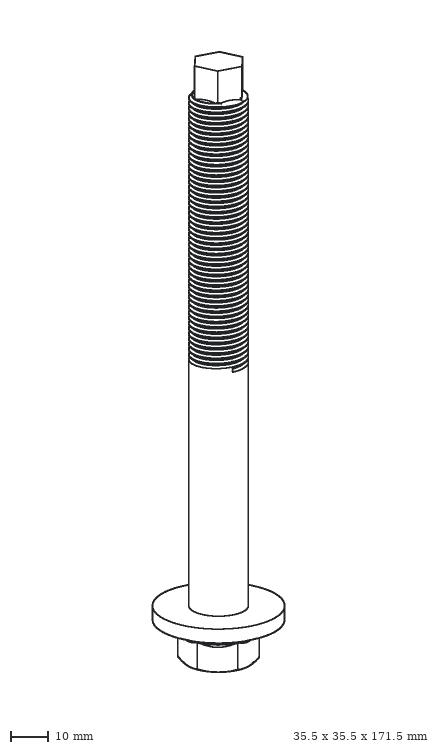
import cadquery as cq
import math

total_length = 171.5
seat_z = 11.5
pilot_length = 10.0
shank_top_z = total_length - pilot_length

head_flats = 19.0
head_chamfer_angle = 30.0
flange_diameter = 27.5
flange_rim_height = 1.8
flange_cone_angle = 25.0
neck_top_diameter = 21.2
neck_cone_angle = 45.0

washer_diameter = 35.5
washer_thickness = 4.0

shank_diameter = 16.0
pilot_flats = 12.7
tip_cone_angle = 30.0

pitch = 1.5
thread_depth = 0.92
flank_angle = 30.0
root_width = 0.25
cutter_overrun = 0.05
thread_start_z = 85.75
thread_start_angle = -30.0
thread_end_angle = 428.0
full_turns = 50
segment_turns = 2


def cone_rise(radius_step, angle):
    """Height gained by a cone of the given slope angle over a radius step."""
    return radius_step * math.tan(math.radians(angle))


def hexagon_prism(flats, bottom_z, top_z, corner_angle):
    """Upright hexagonal prism with its first corner at corner_angle from +X."""
    across_corners = flats / math.cos(math.radians(30))
    prism = cq.Workplane("XY").workplane(offset=bottom_z).polygon(6, across_corners).extrude(top_z - bottom_z)
    return prism.rotate((0, 0, 0), (0, 0, 1), corner_angle)


def revolve_profile(points):
    """Turn (radius, z) points into a solid of revolution about Z."""
    return cq.Workplane("XZ").polyline(points).close().revolve(360, (0, 0), (0, 1))


def make_turned_body():
    """Flange with its cones, washer, and shank with a conical tip."""
    neck_radius = head_flats / 2
    neck_top_radius = neck_top_diameter / 2
    flange_radius = flange_diameter / 2
    washer_radius = washer_diameter / 2
    shank_radius = shank_diameter / 2
    tip_radius = pilot_flats / 2
    flange_rim_z = seat_z - flange_rim_height
    neck_top_z = flange_rim_z - cone_rise(flange_radius - neck_top_radius, flange_cone_angle)
    neck_z = neck_top_z - cone_rise(neck_top_radius - neck_radius, neck_cone_angle)
    washer_top_z = seat_z + washer_thickness
    tip_z = shank_top_z + cone_rise(shank_radius - tip_radius, tip_cone_angle)
    return revolve_profile([
        (0, neck_z),
        (neck_radius, neck_z),
        (neck_top_radius, neck_top_z),
        (flange_radius, flange_rim_z),
        (flange_radius, seat_z),
        (washer_radius, seat_z),
        (washer_radius, washer_top_z),
        (shank_radius, washer_top_z),
        (shank_radius, shank_top_z),
        (tip_radius, tip_z),
        (0, tip_z),
    ])


def make_head_hexagon():
    """Hexagon whose corners are chamfered by a cone at the free end."""
    face_radius = head_flats / 2
    envelope_radius = head_flats
    envelope_z = cone_rise(envelope_radius - face_radius, head_chamfer_angle)
    envelope = revolve_profile([
        (0, 0),
        (face_radius, 0),
        (envelope_radius, envelope_z),
        (envelope_radius, seat_z),
        (0, seat_z),
    ])
    return hexagon_prism(head_flats, 0, seat_z, 90).intersect(envelope)


def make_groove_cutter(turns):
    """Helical V cutter with a flat root, starting at Z = 0 on the +X side."""
    crest_radius = shank_diameter / 2
    root_radius = crest_radius - thread_depth
    outer_radius = crest_radius + cutter_overrun
    half_root = root_width / 2
    half_outer = half_root + cone_rise(outer_radius - root_radius, flank_angle)
    corners = [
        (root_radius, -half_root),
        (outer_radius, -half_outer),
        (outer_radius, half_outer),
        (root_radius, half_root),
    ]
    edges = [
        cq.Wire.makeHelix(pitch, turns * pitch, radius).translate(cq.Vector(0, 0, z))
        for radius, z in corners
    ]
    next_edges = edges[1:] + edges[:1]
    sides = [cq.Face.makeRuledSurface(edge, next_edge) for edge, next_edge in zip(edges, next_edges)]
    start_corners = [edge.startPoint() for edge in edges]
    end_corners = [edge.endPoint() for edge in edges]
    caps = [
        cq.Face.makeFromWires(cq.Wire.makePolygon(cap_corners, close=True))
        for cap_corners in (start_corners, end_corners)
    ]
    return cq.Solid.makeSolid(cq.Shell.makeShell(sides + caps)).fix()


def make_thread_cutters():
    """Groove cutters stacked end to end, with a short runout after the full turns."""
    axis_start = cq.Vector(0, 0, 0)
    axis_end = cq.Vector(0, 0, 1)
    segment = make_groove_cutter(segment_turns)
    runout = make_groove_cutter((thread_end_angle - thread_start_angle) / 360)
    placed = [(segment, turns) for turns in range(0, full_turns, segment_turns)]
    placed.append((runout, full_turns))
    return [
        cutter.rotate(axis_start, axis_end, thread_start_angle)
        .translate(cq.Vector(0, 0, thread_start_z + turns * pitch))
        for cutter, turns in placed
    ]


pilot = hexagon_prism(pilot_flats, shank_top_z, total_length, 0)
blank = make_turned_body().union(make_head_hexagon()).union(pilot)

result = cq.Workplane(blank.val().cut(*make_thread_cutters()))